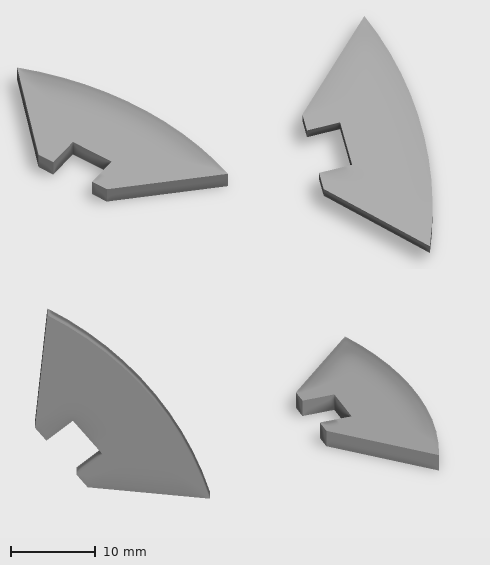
import cadquery as cq

width = 30.27
depth = 13.17
thickness = 2.1

front_width = 9.8
corner_y = (width - front_width) / 2

notch_width = 5.57
notch_depth = 4.03

plate = (
    cq.Workplane("XY")
    .moveTo(-front_width / 2, 0)
    .lineTo(front_width / 2, 0)
    .lineTo(width / 2, corner_y)
    .threePointArc((0, depth), (-width / 2, corner_y))
    .close()
    .extrude(thickness)
)

notch = (
    cq.Workplane("XY")
    .rect(notch_width, 2 * notch_depth)
    .extrude(thickness)
)

result = plate.cut(notch)